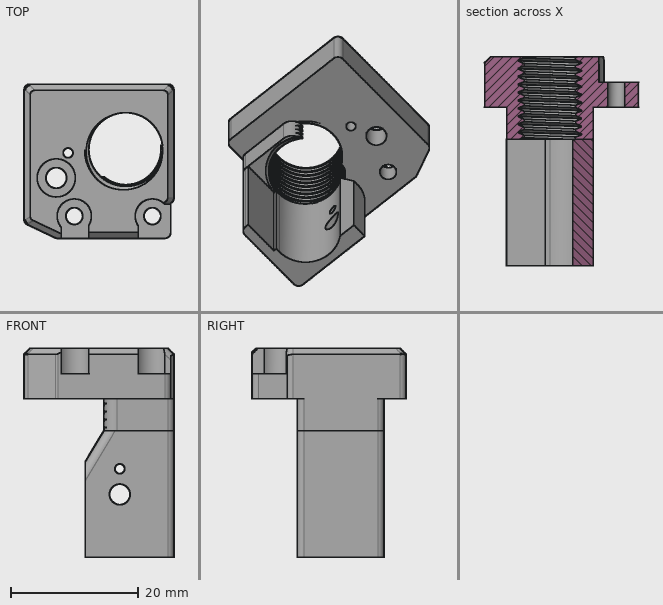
import cadquery as cq
import math


plate_left = -16.0
plate_right = 7.59
plate_back = 10.3
plate_front = -13.97
plate_thickness = 8.0
top_chamfer = 1.0
corner_radius = 1.0
bevel_length_x = 5.1
bevel_length_y = 2.42
step_depth = 0.5
step_y = -8.55
step_right = plate_right - step_depth

pocket_depth = 4.0
pocket_diameter = 5.4
pocket_hole_diameter = 2.6
pocket_hole_y = -10.45
left_pocket_x = -8.09
right_pocket_x = 4.18
left_slot_start = -10.1
left_slot_end = -5.78
right_slot_start = 1.98

counterbore_x = -10.92
counterbore_y = -4.45
counterbore_diameter = 6.0
counterbore_depth = 3.0
screw_hole_diameter = 3.2
pin_hole_diameter = 1.5
plate_pin_x = -9.06
plate_pin_y = -0.52

collar_height = 5.0
collar_left = -3.48
collar_half_width = 6.83
collar_left_radius = 2.1
collar_bottom = -plate_thickness - collar_height
thread_minor_diameter = 11.58
thread_major_diameter = 12.98
thread_pitch = 1.25
thread_flank_angle = 30.0
thread_root_width = 0.05
thread_phase_z = -0.81
thread_profile_overlap = 0.1

total_height = 32.9
leg_height = total_height - plate_thickness - collar_height
leg_left = -6.4
leg_slope_height = 4.87
leg_slope_radius = 1.5
front_wall_thickness = 2.6
front_wall_back = -collar_half_width + front_wall_thickness
leg_bore_radius = 5.5
side_wall_left = 6.0
side_wall_step_y = 0.71
leg_hole_x = -0.94
leg_pin_z = -18.97
leg_screw_z = -22.99


def box(x_min, x_max, y_min, y_max, z_min, z_max):
    """Block between the given limits."""
    size = (x_max - x_min, y_max - y_min, z_max - z_min)
    return cq.Workplane("XY").box(*size, centered=False).translate((x_min, y_min, z_min))


def vertical_cylinder(x, y, diameter, z_min, z_max):
    """Upright cylinder between two heights."""
    return cq.Workplane("XY", origin=(x, y, z_min)).circle(diameter / 2).extrude(z_max - z_min)


def corner_edges(x, y):
    """Selector for the upright edge and the sloping chamfer edge at one plate corner."""
    reach = 0.6 * top_chamfer
    return cq.selectors.BoxSelector((x - reach, y - reach, -plate_thickness), (x + reach, y + reach, 0))


def round_corners(block, corners):
    """Round the given plate corners from the bottom face up through the top chamfer."""
    rising_edges = block.edges("not(#Z)")
    selector = corner_edges(*corners[0])
    for corner in corners[1:]:
        selector = selector + corner_edges(*corner)
    return rising_edges.edges(selector).fillet(corner_radius)


def make_rear_block():
    """Part of the plate behind the step."""
    block = box(plate_left, plate_right, step_y, plate_back, -plate_thickness, 0)
    block = block.faces(">Z").edges("<X or >X or >Y").chamfer(top_chamfer)
    block = round_corners(block, [(plate_left, plate_back), (plate_right, plate_back)])
    sloping_edge = block.edges("<Y").edges("not(|X or |Y or |Z)").edges(">X")
    block = sloping_edge.fillet(corner_radius)
    arc_x = plate_right - corner_radius
    arc_y = step_y + corner_radius
    corner = box(step_right, plate_right, step_y, arc_y, -plate_thickness, 0)
    rounded = vertical_cylinder(arc_x, arc_y, 2 * corner_radius, -plate_thickness, 0)
    return block.cut(corner.cut(rounded))


def make_front_block():
    """Part of the plate in front of the step, with a bevelled left corner and a low right end."""
    bevel_start = (plate_left, plate_front + bevel_length_y)
    bevel_end = (plate_left + bevel_length_x, plate_front)
    block = (
        cq.Workplane("XY", origin=(0, 0, -plate_thickness))
        .moveTo(plate_left, step_y)
        .lineTo(*bevel_start)
        .lineTo(*bevel_end)
        .lineTo(step_right, plate_front)
        .lineTo(step_right, step_y)
        .close()
        .extrude(plate_thickness)
    )
    block = block.faces(">Z").edges("not(>X or >Y or <Y)").chamfer(top_chamfer)
    block = round_corners(block, [bevel_start])
    block = block.edges("|Z").edges(corner_edges(*bevel_end)).fillet(corner_radius)
    return block.edges("|Z and >X and <Y").fillet(corner_radius)


def make_collar():
    """Rounded block under the plate, around the thread."""
    collar = box(
        collar_left, plate_right, -collar_half_width, collar_half_width, collar_bottom, -plate_thickness
    )
    return collar.edges("|Z and <X").fillet(collar_left_radius).edges("|Z and >X").fillet(corner_radius)


def make_thread_turn(start_z):
    """One full right-hand turn of the V-shaped thread groove, rising from the given height."""
    minor_radius = thread_minor_diameter / 2
    major_radius = thread_major_diameter / 2
    inner_radius = minor_radius - thread_profile_overlap
    root_half = thread_root_width / 2
    mouth_half = root_half + (major_radius - inner_radius) * math.tan(math.radians(thread_flank_angle))
    helix = cq.Wire.makeHelix(thread_pitch, thread_pitch, minor_radius).translate(cq.Vector(0, 0, start_z))
    profile = (
        cq.Workplane("XZ")
        .moveTo(inner_radius, start_z - mouth_half)
        .lineTo(major_radius, start_z - root_half)
        .lineTo(major_radius, start_z + root_half)
        .lineTo(inner_radius, start_z + mouth_half)
        .close()
    )
    return profile.sweep(cq.Workplane(helix), isFrenet=True)


def cut_holes(plate):
    """Cut the screw pockets' round ends, the counterbored hole and the pin hole."""
    through = (-plate_thickness, 0)
    for x in (left_pocket_x, right_pocket_x):
        plate = plate.cut(vertical_cylinder(x, pocket_hole_y, pocket_diameter, -pocket_depth, 0))
        plate = plate.cut(vertical_cylinder(x, pocket_hole_y, pocket_hole_diameter, *through))
    counterbore = (counterbore_x, counterbore_y)
    plate = plate.cut(vertical_cylinder(*counterbore, counterbore_diameter, -counterbore_depth, 0))
    plate = plate.cut(vertical_cylinder(*counterbore, screw_hole_diameter, *through))
    return plate.cut(vertical_cylinder(plate_pin_x, plate_pin_y, pin_hole_diameter, *through))


def cut_slots(plate):
    """Open both screw pockets to the front and the right one to the right, then chamfer the lip between."""
    heights = (-pocket_depth, 0)
    plate = plate.cut(box(left_slot_start, left_slot_end, plate_front, pocket_hole_y, *heights))
    plate = plate.cut(box(right_slot_start, plate_right, plate_front, pocket_hole_y, *heights))
    plate = plate.cut(box(right_pocket_x, plate_right, plate_front, step_y, *heights))
    lip_middle = (left_slot_end + right_slot_start) / 2
    front_lip = cq.selectors.NearestToPointSelector((lip_middle, plate_front, 0))
    return plate.edges(front_lip).chamfer(top_chamfer)


def cut_thread(plate):
    """Bore through plate and collar, then cut the groove one turn at a time from the top down."""
    plate = plate.cut(vertical_cylinder(0, 0, thread_minor_diameter, collar_bottom, 0))
    thread_turns = math.ceil(-collar_bottom / thread_pitch) + 1
    for turn in range(thread_turns):
        plate = plate.cut(make_thread_turn(thread_phase_z - turn * thread_pitch))
    return plate


def make_plate():
    """Plate with its collar, pockets, holes and threaded bore."""
    plate = make_rear_block().union(make_front_block()).union(make_collar())
    return cut_thread(cut_slots(cut_holes(plate)))


def make_leg():
    """L-shaped leg: a front wall with a sloping shoulder, and a side wall behind it."""
    leg_bottom = collar_bottom - leg_height
    leg = (
        cq.Workplane("XZ", origin=(0, collar_half_width, 0))
        .moveTo(leg_left, leg_bottom)
        .lineTo(plate_right, leg_bottom)
        .lineTo(plate_right, collar_bottom)
        .lineTo(collar_left, collar_bottom)
        .lineTo(leg_left, collar_bottom - leg_slope_height)
        .close()
        .extrude(2 * collar_half_width)
    )
    slope_bottom = collar_bottom - leg_slope_height
    slope_middle = ((leg_left + collar_left) / 2, -collar_half_width, (slope_bottom + collar_bottom) / 2)
    shoulder = cq.selectors.NearestToPointSelector(slope_middle)
    leg = leg.edges(shoulder).fillet(leg_slope_radius)
    leg = leg.edges("|Z and >X").fillet(corner_radius)
    height_limits = (leg_bottom, collar_bottom)
    leg = leg.cut(box(leg_left, 0, front_wall_back, collar_half_width, *height_limits))
    leg = leg.cut(box(0, leg_bore_radius, 0, collar_half_width, *height_limits))
    leg = leg.cut(box(0, side_wall_left, side_wall_step_y, collar_half_width, *height_limits))
    leg = leg.cut(vertical_cylinder(0, 0, 2 * leg_bore_radius, *height_limits))
    for z, diameter in ((leg_pin_z, pin_hole_diameter), (leg_screw_z, screw_hole_diameter)):
        hole = cq.Workplane("XZ", origin=(leg_hole_x, 0, z)).circle(diameter / 2).extrude(collar_half_width)
        leg = leg.cut(hole)
    return leg


plate = make_plate()
leg = make_leg()

result = cq.Compound.makeCompound([plate.val(), leg.val()])